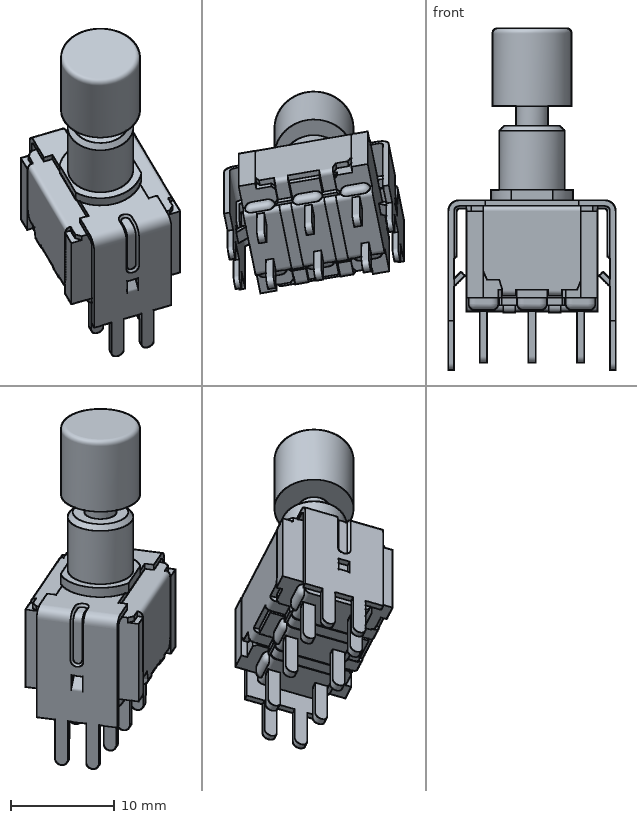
import cadquery as cq
import math


total_height = 33.15
bracket_top = 16.48
sheet = 0.55
plate_top = bracket_top - sheet
frame_sheet = 0.53
case_top = plate_top - frame_sheet
case_bottom = 7.03
base_bottom = 5.67
cap_bottom = 25.6

cap_diameter = 7.7
cap_edge_radius = 0.5
plunger_diameter = 3.1
bushing_diameter = 6.35
bushing_top = 23.7
bushing_chamfer = 0.5
nut_diameter = 8.0
nut_height = 1.0
nut_across_flats = 6.9

bracket_length = 16.25
bracket_width = 8.12
bend_radius = 1.05
waist_length = 9.08
waist_width = 6.3
leg_width = 1.3
leg_spacing = 3.15
leg_height = 4.8

rib_depth = 0.282
rib_outer_width = 1.33
rib_floor_width = 0.9
rib_low_end = 10.8
rib_inner_end = 5.67

tab_width = 1.15
tab_window_top = 9.8
tab_bend_height = 8.32
tab_bend_angle = math.radians(45)
tab_bend_radius = 0.33
tab_window_bottom = tab_bend_height - tab_bend_radius * math.tan(tab_bend_angle / 2)
tab_reach = 1.23

case_length = 12.73
case_width = 11.45
post_gap = 9.48
frame_width = 11.3
plate_width = frame_width - 2 * frame_sheet
plate_corner = 0.5
panel_bend_radius = 0.5
panel_bottom = 7.8
panel_step_height = 8.8
panel_step_x = -3.18
panel_corner = 0.35
panel_left_corner_height = 0.85
panel_right_corner_height = 0.9
tongue_inner_x = 1.55
tongue_outer_x = 2.9
tongue_bottom = 7.23
notch_inner_x = 1.5
notch_outer_x = 3.25
notch_slant = 0.33

base_width = 6.75
base_edge_radius = 0.53
rest_width = 7.3
rest_bottom = 6.25
foot_inner_x = 1.62
foot_outer_x = 2.8
foot_bottom = 5.57
seal_length = 3.0
seal_width = 2.85
seal_bottom = 5.85
seal_corner_radius = 0.73
seal_bottom_radius = 0.6
terminal_pitch = 4.7
terminal_row_spacing = 4.87
terminal_thickness = 0.73
terminal_width = 1.25
terminal_tip = 0.7


def block(length, width, bottom, top, x=0.0, y=0.0):
    """Upright box centred on (x, y) between two heights."""
    return cq.Workplane("XY").box(length, width, top - bottom, centered=(True, True, False)).translate(
        (x, y, bottom)
    )


def disc(diameter, bottom, top):
    return cq.Workplane("XY").workplane(offset=bottom).circle(diameter / 2).extrude(top - bottom)


def both_ends(shape):
    """The shape together with its mirror image at the opposite X end."""
    return shape.union(shape.mirror("YZ"))


def both_sides(shape):
    """The shape together with its mirror image at the opposite Y side."""
    return shape.union(shape.mirror("XZ"))


def round_tip_pin(thickness, width, tip, top, x, y):
    """Flat pin, thin along X, with a fully rounded lower tip."""
    radius = width / 2
    pin = block(thickness, width, tip + radius, top, x, y)
    round_tip = (
        cq.Workplane("YZ")
        .workplane(offset=x - thickness / 2)
        .center(y, tip + radius)
        .circle(radius)
        .extrude(thickness)
    )
    return pin.union(round_tip)


def make_cap():
    return disc(cap_diameter, cap_bottom, total_height).faces(">Z").edges().fillet(cap_edge_radius)


def make_plunger_bushing_and_nut():
    plunger = disc(plunger_diameter, bracket_top, cap_bottom)
    bushing = disc(bushing_diameter, bracket_top, bushing_top).faces(">Z").chamfer(bushing_chamfer)
    nut_top = bracket_top + nut_height
    nut = disc(nut_diameter, bracket_top, nut_top)
    nut = nut.intersect(block(nut_diameter, nut_across_flats, bracket_top, nut_top))
    return plunger.union(bushing).union(nut)


def bracket_envelope(inset):
    """Block with the bracket's bent outline above the legs, shrunk by an inset at the ends and top."""
    envelope = block(bracket_length - 2 * inset, bracket_width, leg_height, bracket_top - inset)
    return envelope.edges("|Y and >Z").fillet(bend_radius - inset)


def make_rib(inset):
    """Tapered rib around the -X bend, starting at a depth below the outer face of the sheet."""
    end_x = -bracket_length / 2
    quarter_turn = 90
    bend_x = end_x + bend_radius
    bend_z = bracket_top - bend_radius
    wide = rib_outer_width / 2
    narrow = rib_floor_width / 2
    low_z = rib_low_end + wide
    high_x = -rib_inner_end - wide
    outer_x = end_x + inset
    floor_x = outer_x + rib_depth
    section = [(outer_x, -wide), (outer_x, wide), (floor_x, narrow), (floor_x, -narrow)]
    upright = cq.Workplane("XY").workplane(offset=low_z).polyline(section).close().extrude(bend_z - low_z)
    bend = (
        cq.Workplane("XY")
        .workplane(offset=bend_z)
        .polyline(section)
        .close()
        .revolve(quarter_turn, (bend_x, 0, 0), (bend_x, 1, 0))
    )
    outer_z = bracket_top - inset
    floor_z = outer_z - rib_depth
    top_section = [(-wide, outer_z), (wide, outer_z), (narrow, floor_z), (-narrow, floor_z)]
    level = (
        cq.Workplane("YZ").workplane(offset=bend_x).polyline(top_section).close().extrude(high_x - bend_x)
    )
    low_end = cq.Solid.makeCone(wide, narrow, rib_depth, cq.Vector(outer_x, 0, low_z), cq.Vector(1, 0, 0))
    high_end = cq.Solid.makeCone(wide, narrow, rib_depth, cq.Vector(high_x, 0, outer_z), cq.Vector(0, 0, -1))
    return upright.union(bend).union(level).union(cq.Workplane(low_end)).union(cq.Workplane(high_end))


def make_tab():
    """Tab bent inwards and upwards at 45 degrees from the -X side of the bracket."""
    outer_x = -bracket_length / 2
    inner_x = outer_x + sheet
    tip_x = outer_x + tab_reach
    tip_z = tab_bend_height + tab_reach
    thickness_run = sheet * math.sin(tab_bend_angle)
    end_x = tip_x + thickness_run
    end_z = tip_z - thickness_run

    def bend_point(angle):
        """Point on the outer bend after turning by an angle."""
        return (
            outer_x + tab_bend_radius * (1 - math.cos(angle)),
            tab_window_bottom + tab_bend_radius * math.sin(angle),
        )

    outline = (
        cq.Workplane("XZ")
        .moveTo(outer_x, tab_window_bottom)
        .threePointArc(bend_point(tab_bend_angle / 2), bend_point(tab_bend_angle))
        .lineTo(tip_x, tip_z)
        .lineTo(end_x, end_z)
        .lineTo(inner_x, end_z - (end_x - inner_x))
        .lineTo(inner_x, tab_window_bottom)
        .close()
    )
    return outline.extrude(tab_width / 2, both=True)


def make_bracket():
    bracket = bracket_envelope(0).cut(bracket_envelope(sheet))
    margin = (bracket_width - waist_width) / 2
    waist_cut = block(waist_length, margin, plate_top, bracket_top, y=(waist_width + margin) / 2)
    bracket = bracket.cut(both_sides(waist_cut))

    side_x = -(bracket_length - sheet) / 2
    for y in (-leg_spacing / 2, leg_spacing / 2):
        leg = round_tip_pin(sheet, leg_width, 0, leg_height, side_x, y)
        bracket = bracket.union(both_ends(leg))

    window = block(sheet, tab_width, tab_window_bottom, tab_window_top, side_x)
    bracket = bracket.cut(both_ends(window)).union(both_ends(make_tab()))
    return bracket.cut(both_ends(make_rib(0))).union(both_ends(make_rib(sheet)))


def make_case():
    case = block(case_length, case_width, case_bottom, case_top)
    recess_depth = (case_width - plate_width) / 2
    recess_y = -(case_width - recess_depth) / 2
    recess = block(post_gap, recess_depth, case_bottom, case_top, y=recess_y)
    case = case.cut(both_sides(recess))

    front = plate_width / 2
    notch_plan = [
        (notch_inner_x, -front),
        (notch_outer_x, -front),
        (notch_outer_x - notch_slant, -front + notch_slant),
        (notch_outer_x - notch_slant, 0),
        (notch_inner_x, 0),
    ]
    notch = (
        cq.Workplane("XY")
        .workplane(offset=case_bottom)
        .polyline(notch_plan)
        .close()
        .extrude(panel_bottom - case_bottom)
    )
    return case.cut(both_ends(both_sides(notch)))


def make_panel():
    """Front panel of the frame, bent down from the top plate, with two tongues folded inwards."""
    half = post_gap / 2
    outline = [
        (-half, plate_top),
        (-half, panel_step_height + panel_left_corner_height),
        (-half + panel_corner, panel_step_height),
        (panel_step_x, panel_step_height),
        (-tongue_outer_x, panel_bottom),
        (half - panel_corner, panel_bottom),
        (half, panel_bottom + panel_right_corner_height),
        (half, plate_top),
    ]
    panel = (
        cq.Workplane("XZ").workplane(offset=plate_width / 2).polyline(outline).close().extrude(frame_sheet)
    )
    panel = panel.edges("|X and >Z and <Y").fillet(panel_bend_radius)
    fold_depth = (frame_width - base_width) / 2
    tongue_length = tongue_outer_x - tongue_inner_x
    tongue_x = (tongue_outer_x + tongue_inner_x) / 2
    tongue_y = -(frame_width - fold_depth) / 2
    tongue = block(tongue_length, fold_depth, tongue_bottom, panel_bottom, tongue_x, tongue_y)
    tongue = tongue.edges("|X and <Y and <Z").fillet(panel_bend_radius)
    return panel.union(both_ends(tongue))


def make_frame():
    plate = block(case_length, plate_width, case_top, plate_top).edges("|Z").chamfer(plate_corner)
    return plate.union(both_sides(make_panel()))


def make_seal(x, y):
    """Rounded seal around the root of one terminal."""
    seal = block(seal_length, seal_width, seal_bottom, case_bottom, x, y)
    return seal.edges("|Z").fillet(seal_corner_radius).faces("<Z").edges().fillet(seal_bottom_radius)


def make_base():
    base = block(case_length, base_width, base_bottom, panel_bottom)
    base = base.edges("|X and <Z").fillet(base_edge_radius)

    rest_length = notch_outer_x - notch_inner_x
    rest_x = (notch_outer_x + notch_inner_x) / 2
    rest = block(rest_length, rest_width, rest_bottom, case_bottom, rest_x)
    rest = rest.edges("|Z and >X").chamfer(notch_slant)
    foot_length = foot_outer_x - foot_inner_x
    foot_x = (foot_outer_x + foot_inner_x) / 2
    foot = block(foot_length, base_width, foot_bottom, rest_bottom, foot_x)
    foot = foot.edges("|X and <Z").fillet(base_edge_radius)
    base = base.union(both_ends(rest)).union(both_ends(foot))

    for x in (-terminal_pitch, 0, terminal_pitch):
        for y in (-terminal_row_spacing / 2, terminal_row_spacing / 2):
            terminal = round_tip_pin(terminal_thickness, terminal_width, terminal_tip, case_bottom, x, y)
            base = base.union(make_seal(x, y)).union(terminal)
    return base


def make_switch():
    switch = make_case().union(make_base()).union(make_frame())
    return switch.union(make_bracket()).union(make_plunger_bushing_and_nut())


cap = make_cap()
switch = make_switch()

result = cq.Compound.makeCompound([cap.solids().val(), switch.solids().val()])